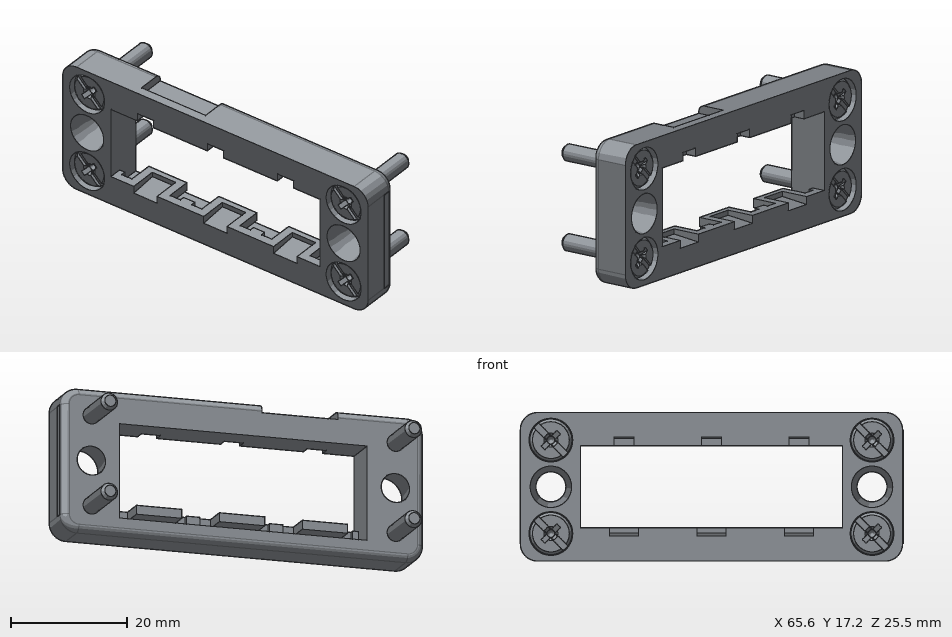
import cadquery as cq

frame_length = 65.5
frame_height = 25.5
frame_depth = 7.1
corner_radius = 3.0
back_fillet = 1.25
overall_depth = 17.18

window_length = 44.8
window_height = 14.0
window_half_height = window_height / 2

module_pitch = 15.0
module_places = [-module_pitch, 0.0, module_pitch]

notch_width = 3.45
notch_height = 1.5
notch_depth = 2.0
notch_roof_drop = 0.25

pocket_width = 5.0
pocket_depth = 5.3
pocket_front_drop = 1.4
pocket_back_drop = 0.9

strip_depth = 1.6
sunk_drop = 2.75
shelf_thickness = 1.6
shelf_width = 8.2
shelf_back = 6.4
tab_width = 2.4
tab_back = 2.5

hole_offset = 27.5
screw_offset = 8.0
hole_front_diameter = 7.1
hole_back_diameter = 5.1
recess_diameter = 7.5
head_diameter = 7.2
head_face_diameter = 6.3
head_setback = 0.6
head_edge_depth = 0.6
recess_depth = 3.0
shank_diameter = 3.0
shank_chamfer = 0.5
shank_chamfer_length = 0.6

drive_angle = 45.0
slot_width = 1.15
slot_depth = 0.6
cross_arm_width = 0.9
cross_front_radius = 1.9
cross_arm_depth = 1.0
core_front_radius = 1.2
core_depth = 2.2

label_left = -17.15
label_right = -3.4
label_front = 1.75
label_depth = 1.5
strip_label_height = 19.5
strip_label_front = 4.5
strip_label_width = 1.4
strip_label_relief = 0.1


def box(x_range, y_range, z_range):
    """Axis-aligned block between the given pairs of limits."""
    size = [high - low for low, high in (x_range, y_range, z_range)]
    corner = (x_range[0], y_range[0], z_range[0])
    return cq.Workplane("XY").box(*size, centered=False).translate(corner)


def span(centre, width):
    """Limits of a width laid evenly about a centre."""
    return (centre - width / 2, centre + width / 2)


def turned(profile, x, z):
    """Solid of revolution about the Y-parallel axis at (x, z), from (radius, depth) points."""
    solid = cq.Workplane("XY").polyline(profile).close().revolve(360, (0, 0, 0), (0, 1, 0))
    return solid.translate((x, 0, z))


def make_frame():
    frame = box(span(0, frame_length), (0, frame_depth), span(0, frame_height))
    frame = frame.edges("|Y").fillet(corner_radius)
    return frame.faces(">Y").edges().fillet(back_fillet)


def cut_window(frame):
    window = box(span(0, window_length), (0, frame_depth), span(0, window_height))
    return frame.cut(window)


def cut_upper_notches(frame):
    roof_front = window_half_height + notch_height
    roof_back = roof_front - notch_roof_drop
    profile = [(0, 0), (0, roof_front), (notch_depth, roof_back), (notch_depth, 0)]
    notch = cq.Workplane("YZ").polyline(profile).close().extrude(notch_width / 2, both=True)
    for x in module_places:
        frame = frame.cut(notch.translate((x, 0, 0)))
    return frame


def cut_lower_edge(frame):
    """Sink the lower edge behind the front strip, leaving the pocket shelves and small tabs."""
    edge = -window_half_height
    sunk_range = (edge - sunk_drop, edge)
    shelf_range = (edge - shelf_thickness, edge)
    sunk = box(span(0, window_length), (strip_depth, frame_depth), sunk_range)
    for x in module_places:
        sunk = sunk.cut(box(span(x, shelf_width), (0, shelf_back), shelf_range))
    first_tab = module_places[0] - module_pitch / 2
    for step in range(len(module_places) + 1):
        x = first_tab + step * module_pitch
        sunk = sunk.cut(box(span(x, tab_width), (0, tab_back), sunk_range))
    return frame.cut(sunk)


def cut_latch_pockets(frame):
    edge = -window_half_height
    profile = [
        (0, 0),
        (0, edge - pocket_front_drop),
        (pocket_depth, edge - pocket_back_drop),
        (pocket_depth, 0),
    ]
    pocket = cq.Workplane("YZ").polyline(profile).close().extrude(pocket_width / 2, both=True)
    for x in module_places:
        frame = frame.cut(pocket.translate((x, 0, 0)))
    return frame


def shape_label_areas(frame):
    top = frame_height / 2
    recess = box((label_left, label_right), (label_front, frame_depth), (top - label_depth, top))
    end = frame_length / 2
    strip = box(
        (end - strip_label_relief, end + strip_label_relief),
        (strip_label_front, strip_label_front + strip_label_width),
        span(0, strip_label_height),
    )
    return frame.cut(recess).union(strip)


def cut_end_hole(frame, x):
    front_radius = hole_front_diameter / 2
    back_radius = hole_back_diameter / 2
    profile = [(0, 0), (front_radius, 0), (back_radius, frame_depth), (0, frame_depth)]
    return frame.cut(turned(profile, x, 0))


def make_drive(x, z):
    """Straight slot with a cross recess of four tapered arms around a conical core."""
    front = head_setback
    arm_back = front + cross_arm_depth
    arm_back_radius = core_front_radius * (1 - cross_arm_depth / core_depth)
    drive = box(span(0, recess_diameter), (0, front + slot_depth), span(0, slot_width))
    arm_profile = [
        (-cross_front_radius, front),
        (cross_front_radius, front),
        (arm_back_radius, arm_back),
        (-arm_back_radius, arm_back),
    ]
    arm = cq.Workplane("XY").polyline(arm_profile).close().extrude(cross_arm_width / 2, both=True)
    for angle in (0, 90):
        drive = drive.union(arm.rotate((0, 0, 0), (0, 1, 0), angle))
    core_profile = [(0, front), (core_front_radius, front), (0, front + core_depth)]
    drive = drive.union(turned(core_profile, 0, 0))
    return drive.rotate((0, 0, 0), (0, 1, 0), drive_angle).translate((x, 0, z))


def add_screw(frame, x, z):
    """Counterbore the frame and seat a screw in it, its head recessed from the front face."""
    recess_radius = recess_diameter / 2
    recess = turned(
        [(0, 0), (recess_radius, 0), (recess_radius, recess_depth), (0, recess_depth)], x, z
    )
    shank_radius = shank_diameter / 2
    head_radius = head_diameter / 2
    screw = turned(
        [
            (0, head_setback),
            (head_face_diameter / 2, head_setback),
            (head_radius, head_setback + head_edge_depth),
            (head_radius, recess_depth),
            (shank_radius, recess_depth),
            (shank_radius, overall_depth - shank_chamfer_length),
            (shank_radius - shank_chamfer, overall_depth),
            (0, overall_depth),
        ],
        x,
        z,
    )
    return frame.cut(recess).union(screw.cut(make_drive(x, z)))


result = make_frame()
result = cut_window(result)
result = cut_upper_notches(result)
result = cut_lower_edge(result)
result = cut_latch_pockets(result)
result = shape_label_areas(result)
for side in (-1, 1):
    result = cut_end_hole(result, side * hole_offset)
    for level in (-1, 1):
        result = add_screw(result, side * hole_offset, level * screw_offset)